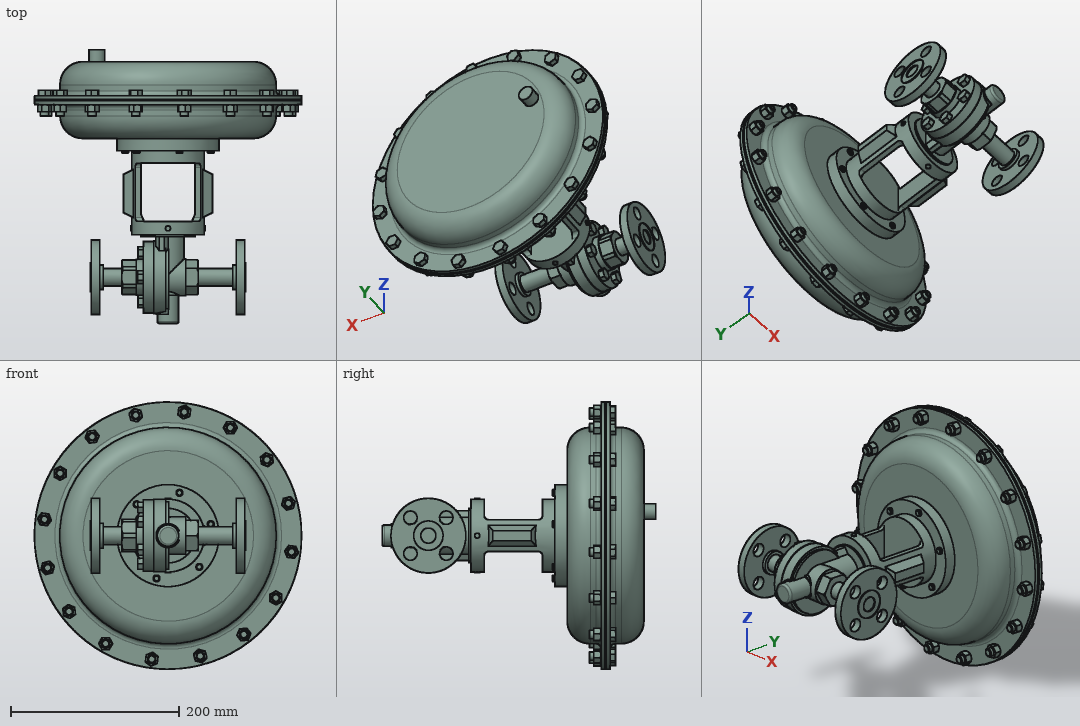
import cadquery as cq
import math


flange_radius = 158.75
plate_thickness = 4.3
gasket_thickness = 2.1
gasket_recess = 0.2
casing_mid_y = 210.4
casing_radius = 128.6
casing_half_height = 45.7
dome_radius = 27.3
flare_radius = 6.0
flange_half_thickness = plate_thickness + gasket_thickness / 2

bolt_count = 16
bolt_circle_radius = 148.0
bolt_start_angle = 82.5
bolt_hex_flats = 14.3
bolt_radius = 5.0
bolt_chamfer = 1.0
bolt_head_height = 6.6
nut_height = 8.8
nut_seat_chamfer = 1.2
stud_end_y = 190.9

nozzle_radius = 9.4
nozzle_end_y = 270.25
nozzle_x = -84.5
nozzle_z = 28.6

adapter_radius = 60.6
adapter_thickness = 14.5
adapter_screw_count = 6
adapter_screw_start_angle = 15.0
adapter_screw_circle_radius = 52.6
adapter_screw_radius = 4.0
adapter_screw_height = 3.0
adapter_screw_chamfer = 1.0

yoke_radius = 43.3
yoke_bottom_y = 50.4
window_bottom_y = 66.5
window_top_y = 135.4
window_half_width = 32.0
window_corner_width = 3.6
window_corner_height = 8.5
arm_half_width = 19.0
arm_fillet = 5.0
wing_outer_x = 53.0
wing_base_x = 41.0
wing_mid_y = 99.4
wing_base_length = 57.6
wing_base_width = 25.4
wing_top_length = 45.5
wing_top_width = 12.0
set_screw_count = 4
set_screw_radius = 3.0
set_screw_tip_radius = 44.3
set_screw_y = 58.0
spigot_radius = 32.4
spigot_height = 2.2

outlet_radius = 22.2
neck_axis_x = -2.9
plug_radius = 12.7
plug_end_y = -55.0
plug_end_fillet = 2.8
plug_collar_radius = 14.2
plug_collar_end_y = -21.5
plug_boss_end_y = -44.0
cover_radius = 42.5
rim_radius = 43.2
cover_outer_x = -29.2
cover_joint_x = -16.9
body_rim_x = -2.5
body_face_x = 1.0
body_step_radius = 40.0
bracket_left_x = -14.7
bracket_right_x = 0.2
bracket_half_width = 29.6
bracket_corner_x = 4.6
bracket_corner_z = 7.6

cover_bolt_count = 6
cover_bolt_circle_radius = 33.4
cover_bolt_flats = 13.0
cover_bolt_height = 6.5

nut_flats = 36.4
left_nut_flats = 38.4
left_nut_corner_flats = 41.4
left_nut_inner_x = -37.6
left_nut_outer_x = -54.7
left_hub_radius = 21.5
right_nut_inner_x = 20.8
right_nut_outer_x = 35.8
nut_chamfer = 1.5
pipe_radius = 10.65
pipe_bore_radius = 9.0
pipe_bore_depth = 1.6
pipe_flange_radius = 44.5
pipe_flange_inner_x = 80.9
pipe_flange_outer_x = 91.2
raised_face_radius = 17.45
raised_face_height = 1.1
pipe_hub_radius = 14.8
pipe_hub_length = 4.2
pipe_flange_hole_count = 4
pipe_flange_hole_radius = 7.95
pipe_flange_hole_circle_radius = 30.15

X_AXIS = cq.Vector(1, 0, 0)
Y_AXIS = cq.Vector(0, 1, 0)


def cylinder(axis, radius, start, end, across=(0, 0)):
    """Cylinder along X (across = y, z) or along Y (across = x, z)."""
    low = min(start, end)
    first, second = across
    base = cq.Vector(low, first, second) if axis is X_AXIS else cq.Vector(first, low, second)
    return cq.Workplane(cq.Solid.makeCylinder(radius, abs(end - start), base, axis))


def hexagon(axis, flats, start, end, corner_angle=0):
    """Hexagonal prism centred on the axis, with one corner turned by corner_angle.

    The angle starts from X on a prism along Y, and from Y on a prism along X.
    """
    low = min(start, end)
    if axis is X_AXIS:
        plane = cq.Plane(origin=(low, 0, 0), xDir=(0, 1, 0), normal=(1, 0, 0))
    else:
        plane = cq.Plane(origin=(0, low, 0), xDir=(1, 0, 0), normal=(0, 1, 0))
    corner_diameter = flats / math.cos(math.pi / 6)
    prism = cq.Workplane(plane).polygon(6, corner_diameter).extrude(abs(end - start))
    return prism.rotate((0, 0, 0), axis.toTuple(), corner_angle)


def ring_angles(count, start_angle):
    return [start_angle + index * 360 / count for index in range(count)]


def polar(radius, angle):
    return (radius * math.cos(math.radians(angle)), radius * math.sin(math.radians(angle)))


def casing_half():
    """Domed half casing with its flange plate, drawn upward from the joint plane at y = 0."""
    plate_low = gasket_thickness / 2
    plate_top = flange_half_thickness
    dome_start = casing_half_height - dome_radius
    diagonal = math.sqrt(0.5)
    dome_centre_radius = casing_radius - dome_radius
    flare_centre_radius = casing_radius + flare_radius
    flare_top = plate_top + flare_radius
    profile = (
        cq.Workplane("XY")
        .moveTo(0, plate_low)
        .lineTo(flange_radius, plate_low)
        .lineTo(flange_radius, plate_top)
        .lineTo(flare_centre_radius, plate_top)
        .threePointArc(
            (flare_centre_radius - flare_radius * diagonal, flare_top - flare_radius * diagonal),
            (casing_radius, flare_top),
        )
        .lineTo(casing_radius, dome_start)
        .threePointArc(
            (dome_centre_radius + dome_radius * diagonal, dome_start + dome_radius * diagonal),
            (dome_centre_radius, casing_half_height),
        )
        .lineTo(0, casing_half_height)
        .close()
    )
    return profile.revolve(360, (0, 0, 0), (0, 1, 0))


def casing():
    half = casing_half()
    gasket = cylinder(Y_AXIS, flange_radius - gasket_recess, -gasket_thickness, gasket_thickness)
    whole = half.union(half.mirror("XZ")).union(gasket)
    nozzle = cylinder(Y_AXIS, nozzle_radius, casing_mid_y, nozzle_end_y, (nozzle_x, nozzle_z))
    return whole.translate((0, casing_mid_y, 0)).union(nozzle)


def casing_bolt():
    """Bolt head, nut and chamfered stud end, centred on the Y axis."""
    back_face = casing_mid_y + flange_half_thickness
    front_face = casing_mid_y - flange_half_thickness
    head = hexagon(Y_AXIS, bolt_hex_flats, back_face, back_face + bolt_head_height, 30)
    nut_end = front_face - nut_height
    corner_radius = bolt_hex_flats / 2 / math.cos(math.pi / 6)
    turned = cylinder(Y_AXIS, corner_radius, nut_end, front_face).faces(">Y").chamfer(nut_seat_chamfer)
    nut = hexagon(Y_AXIS, bolt_hex_flats, nut_end, front_face).intersect(turned)
    stud = cylinder(Y_AXIS, bolt_radius, stud_end_y, back_face).faces("<Y").chamfer(bolt_chamfer)
    return head.union(nut).union(stud)


def casing_bolts():
    bolt = casing_bolt().translate((bolt_circle_radius, 0, 0))
    return [bolt.rotate((0, 0, 0), (0, 1, 0), -angle) for angle in ring_angles(bolt_count, bolt_start_angle)]


def adapter():
    top = casing_mid_y - casing_half_height
    bottom = top - adapter_thickness
    plate = cylinder(Y_AXIS, adapter_radius, bottom, top)
    for angle in ring_angles(adapter_screw_count, adapter_screw_start_angle):
        place = polar(adapter_screw_circle_radius, angle)
        screw = cylinder(Y_AXIS, adapter_screw_radius, bottom - adapter_screw_height, top, place)
        plate = plate.union(screw.faces("<Y").chamfer(adapter_screw_chamfer))
    return plate


def yoke_wing():
    """Tapered block on the +X arm."""
    plane = cq.Plane(origin=(wing_base_x, wing_mid_y, 0), xDir=(0, 1, 0), normal=(1, 0, 0))
    return (
        cq.Workplane(plane)
        .rect(wing_base_length, wing_base_width)
        .workplane(offset=wing_outer_x - wing_base_x)
        .rect(wing_top_length, wing_top_width)
        .loft()
    )


def yoke_window():
    """Window through the yoke along Z, narrowed at its two lower corners."""
    sill_half_width = window_half_width - window_corner_width
    corner_y = window_bottom_y + window_corner_height
    outline = [
        (-sill_half_width, window_bottom_y),
        (sill_half_width, window_bottom_y),
        (window_half_width, corner_y),
        (window_half_width, window_top_y),
        (-window_half_width, window_top_y),
        (-window_half_width, corner_y),
    ]
    return cq.Workplane("XY").polyline(outline).close().extrude(yoke_radius, both=True)


def yoke():
    top = casing_mid_y - casing_half_height - adapter_thickness
    body = cylinder(Y_AXIS, yoke_radius, yoke_bottom_y, top)
    body = body.cut(yoke_window())
    opening_height = window_top_y - window_bottom_y
    opening = (
        cq.Workplane("XY")
        .box(2 * yoke_radius, opening_height, yoke_radius, centered=(True, False, False))
        .translate((0, window_bottom_y, arm_half_width))
        .edges("|X and <Z")
        .fillet(arm_fillet)
    )
    body = body.cut(opening).cut(opening.mirror("XY"))
    wing = yoke_wing()
    body = body.union(wing).union(wing.mirror("YZ"))
    screw = cylinder(X_AXIS, set_screw_radius, 0, set_screw_tip_radius, (set_screw_y, 0))
    for angle in ring_angles(set_screw_count, 0):
        body = body.union(screw.rotate((0, 0, 0), (0, 1, 0), angle))
    spigot = cylinder(Y_AXIS, spigot_radius, yoke_bottom_y - spigot_height, yoke_bottom_y)
    return body.union(spigot)


def bracket():
    """Corner-cut block between the yoke and the valve body."""
    height = yoke_bottom_y - spigot_height
    side_z = bracket_half_width - bracket_corner_z
    left_corner_x = bracket_left_x + bracket_corner_x
    right_corner_x = bracket_right_x - bracket_corner_x
    plane = cq.Plane(origin=(0, 0, 0), xDir=(1, 0, 0), normal=(0, 1, 0))
    outline = [
        (right_corner_x, bracket_half_width),
        (left_corner_x, bracket_half_width),
        (bracket_left_x, side_z),
        (bracket_left_x, -side_z),
        (left_corner_x, -bracket_half_width),
        (right_corner_x, -bracket_half_width),
        (bracket_right_x, -side_z),
        (bracket_right_x, side_z),
    ]
    return cq.Workplane(plane).polyline(outline).close().extrude(height)


def right_half(shape):
    """Keep the part of a shape on the +X side of the actuator axis."""
    size = 2 * yoke_radius
    return shape.intersect(cq.Workplane("XY").box(size, 2 * size, size).translate((size / 2, 0, 0)))


def valve_body():
    neck = right_half(cylinder(Y_AXIS, outlet_radius, 0, yoke_bottom_y, (neck_axis_x, 0)))
    boss = cylinder(Y_AXIS, plug_collar_radius, plug_boss_end_y, 0)
    boss = boss.cut(right_half(boss))
    outlet = cylinder(X_AXIS, outlet_radius, 0, right_nut_inner_x)
    plug = cylinder(Y_AXIS, plug_radius, plug_end_y, 0).faces("<Y").edges().fillet(plug_end_fillet)
    collar = cylinder(Y_AXIS, plug_collar_radius, plug_collar_end_y, 0)
    cover = cylinder(X_AXIS, cover_radius, cover_outer_x, cover_joint_x)
    rim = cylinder(X_AXIS, rim_radius, cover_joint_x, body_rim_x)
    step = cylinder(X_AXIS, body_step_radius, body_rim_x, body_face_x)
    body = outlet
    for piece in (cover, rim, step, neck, plug, collar, boss, bracket()):
        body = body.union(piece)
    return body


def cover_bolts():
    head = hexagon(X_AXIS, cover_bolt_flats, cover_outer_x, cover_outer_x - cover_bolt_height)
    places = [polar(cover_bolt_circle_radius, angle) for angle in ring_angles(cover_bolt_count, 30)]
    return [head.translate((0, y, z)) for y, z in places]


def chamfered_nut(prism, outer_radius, inner_x, outer_x):
    """Round off the corners of a nut at its outer end."""
    end = ">X" if outer_x > 0 else "<X"
    turned = cylinder(X_AXIS, outer_radius, inner_x, outer_x).faces(end).chamfer(nut_chamfer)
    return prism.intersect(turned)


def left_nut():
    """Hexagonal nut with its six corners cut flat, and the round hub behind it."""
    prism = hexagon(X_AXIS, left_nut_flats, left_nut_inner_x, left_nut_outer_x)
    trimmer = hexagon(X_AXIS, left_nut_corner_flats, left_nut_inner_x, left_nut_outer_x, 30)
    nut = chamfered_nut(
        prism.intersect(trimmer), left_nut_corner_flats / 2 + 0.5, left_nut_inner_x, left_nut_outer_x
    )
    hub = cylinder(X_AXIS, left_hub_radius, left_nut_inner_x, cover_outer_x)
    return nut.union(hub)


def right_nut():
    prism = hexagon(X_AXIS, nut_flats, right_nut_inner_x, right_nut_outer_x)
    corner_radius = nut_flats / 2 / math.cos(math.pi / 6)
    return chamfered_nut(prism, corner_radius, right_nut_inner_x, right_nut_outer_x)


def pipe_end(nut_x):
    """Pipe stub with its bolting flange on the +X side, starting at the nut face."""
    face_x = pipe_flange_outer_x + raised_face_height
    pipe = cylinder(X_AXIS, pipe_radius, nut_x, pipe_flange_outer_x)
    hub = cylinder(X_AXIS, pipe_hub_radius, pipe_flange_inner_x - pipe_hub_length, pipe_flange_inner_x)
    flange = cylinder(X_AXIS, pipe_flange_radius, pipe_flange_inner_x, pipe_flange_outer_x)
    raised_face = cylinder(X_AXIS, raised_face_radius, pipe_flange_outer_x, face_x)
    for angle in ring_angles(pipe_flange_hole_count, 45):
        place = polar(pipe_flange_hole_circle_radius, angle)
        hole = cylinder(X_AXIS, pipe_flange_hole_radius, pipe_flange_inner_x, pipe_flange_outer_x, place)
        flange = flange.cut(hole)
    bore = cylinder(X_AXIS, pipe_bore_radius, face_x - pipe_bore_depth, face_x)
    return flange.union(pipe).union(hub).union(raised_face).cut(bore)


parts = [adapter(), yoke(), valve_body(), left_nut(), right_nut()]
parts += [pipe_end(right_nut_outer_x), pipe_end(-left_nut_outer_x).mirror("YZ")]
parts += casing_bolts() + cover_bolts()

result = casing()
for part in parts:
    result = result.union(part)